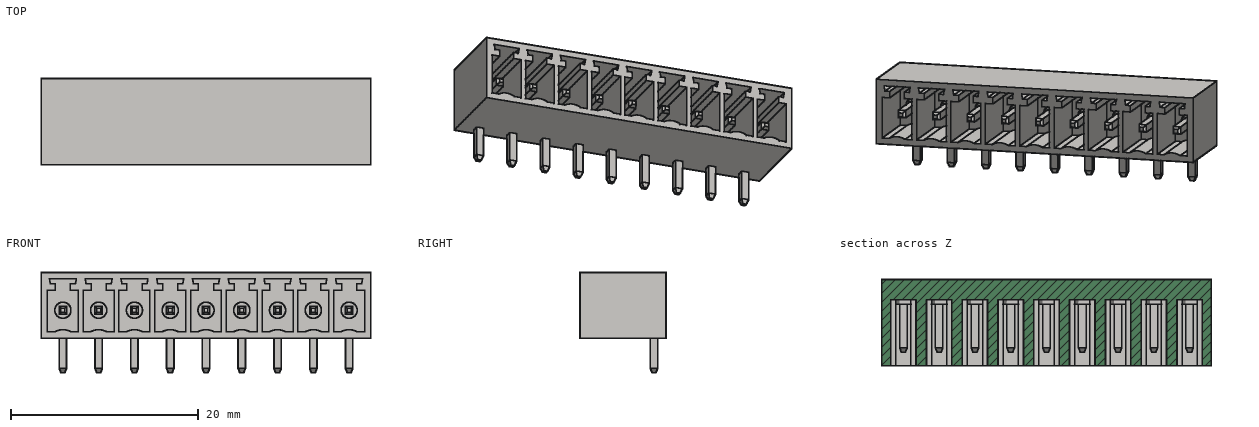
import cadquery as cq


body_length = 35.1
body_depth = 9.2
body_height = 7.02

contact_count = 9
end_margin = 2.3
pitch = (body_length - 2 * end_margin) / (contact_count - 1)

socket_depth = 7.02
chamber_width = 3.3
chamber_floor = 0.65
chamber_top = 5.1

neck_width = 1.6
head_bottom = 5.8
head_top = 6.35
head_bottom_width = 2.65
head_top_width = 2.88

rib_width = 1.8
rib_rise = 0.25

pin_width = 0.8
pin_tip_width = 0.42
pin_taper = 0.5
pin_height = 3.0
pin_setback = 1.45
leg_length = 3.7
leg_to_back = 1.3

collar_diameter = 1.72
collar_length = 0.5

leg_y = body_depth - leg_to_back
contact_xs = [(i - (contact_count - 1) / 2) * pitch for i in range(contact_count)]


def socket_cutter(x):
    """Keyed socket volume, symmetric about the contact's centre plane."""
    right_side = [
        (rib_width / 2, chamber_floor),
        (chamber_width / 2, chamber_floor),
        (chamber_width / 2, chamber_top),
        (neck_width / 2, chamber_top),
        (neck_width / 2, head_bottom),
        (head_bottom_width / 2, head_bottom),
        (head_top_width / 2, head_top),
    ]
    left_side = [(-across, up) for across, up in reversed(right_side)]
    return (
        cq.Workplane("XZ", origin=(x, 0, 0))
        .polyline(right_side + left_side)
        .threePointArc((0, chamber_floor + rib_rise), right_side[0])
        .close()
        .extrude(-socket_depth)
    )


def square_pin(start, direction, length):
    """Square pin running from start, with a tapered end."""
    across = cq.Plane(origin=start, xDir=(1, 0, 0), normal=direction)
    shank_length = length - pin_taper
    shank = cq.Workplane(across).rect(pin_width, pin_width).extrude(shank_length)
    tip = (
        cq.Workplane(across)
        .workplane(offset=shank_length)
        .rect(pin_width, pin_width)
        .workplane(offset=pin_taper)
        .rect(pin_tip_width, pin_tip_width)
        .loft(ruled=True)
    )
    return shank.union(tip)


def collar(x):
    """Round collar standing on the back wall of a socket."""
    return (
        cq.Workplane("XZ", origin=(x, socket_depth, pin_height))
        .circle(collar_diameter / 2)
        .extrude(collar_length)
    )


def contact(x):
    """Bent pin: one arm into the socket, one leg below the block."""
    bend = (x, leg_y, pin_height)
    arm = square_pin(bend, (0, -1, 0), leg_y - pin_setback)
    leg = square_pin(bend, (0, 0, -1), pin_height + leg_length)
    return arm.union(leg)


result = cq.Workplane("XY").box(body_length, body_depth, body_height, centered=(True, False, False))
for contact_x in contact_xs:
    result = result.cut(socket_cutter(contact_x))
for contact_x in contact_xs:
    result = result.union(collar(contact_x)).union(contact(contact_x))